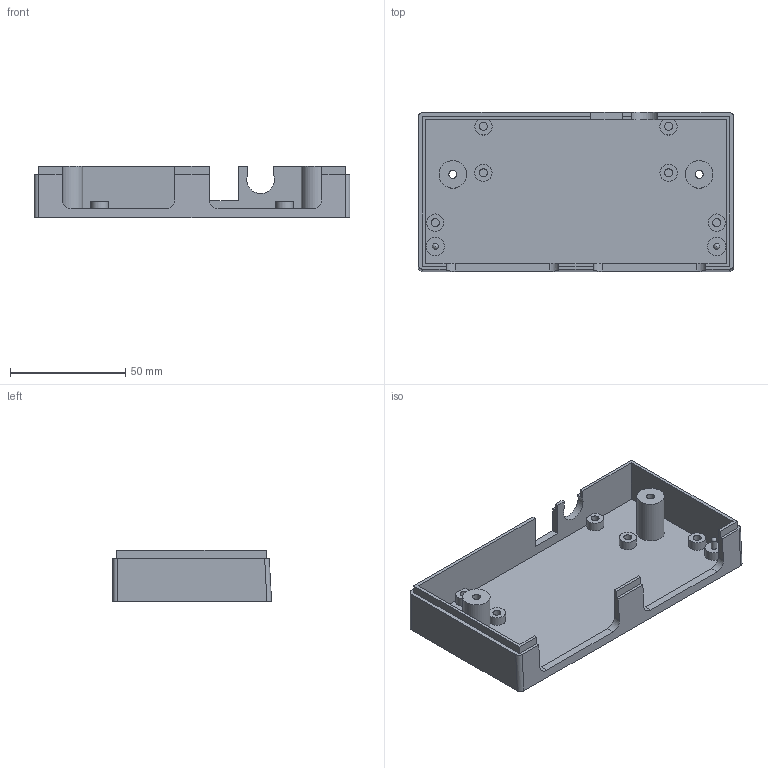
import cadquery as cq

length = 137.19
depth = 69.09
height = 22.42
lip_height = 3.5
front_lean = 1.0
corner_radius = 2.0

ledge_z = height - lip_height
back_y = depth / 2
front_y = -depth / 2

ledge_width = 1.75
front_ledge_width = 1.25
lip_thickness = 1.35
floor_z = 3.0

lip_length = length - 2 * ledge_width
lip_back_y = back_y - ledge_width
lip_front_y = front_y + front_lean + front_ledge_width
cavity_length = lip_length - 2 * lip_thickness
cavity_back_y = lip_back_y - lip_thickness
cavity_front_y = lip_front_y + lip_thickness

window_inner_x = 7.5
window_outer_x = 56.4
window_sill_z = 3.9
window_radius = 4.0

notch_left_x = 6.35
notch_right_x = 20.2
notch_sill_z = 7.4
cable_x = 29.8
cable_z = 16.55
cable_diameter = 12.0
cable_slot_width = 11.2

screw_hole_diameter = 3.5
post_x = 53.5
post_y = 7.65
post_diameter = 12.0
boss_diameter = 7.5
boss_top_z = 7.0
boss_places = [(40.2, 28.5), (40.2, 8.35), (61.1, -13.3)]
pin_x = 61.1
pin_y = -23.65
pin_base_diameter = 8.0
pin_diameter = 2.5
pin_top_z = 12.15


def block(x_min, x_max, y_min, y_max, z_min, z_max):
    """Box given by its limits along each axis."""
    size = (x_max - x_min, y_max - y_min, z_max - z_min)
    return cq.Workplane("XY").box(*size, centered=False).translate((x_min, y_min, z_min))


def cylinder(x, y, z_min, z_max, diameter):
    """Upright cylinder between two heights."""
    return cq.Workplane("XY", origin=(x, y, z_min)).circle(diameter / 2).extrude(z_max - z_min)


def make_shell():
    """Open box with a leaning front face and a stepped lip."""
    body = (
        cq.Workplane("YZ", origin=(-length / 2, 0, 0))
        .moveTo(front_y, 0)
        .lineTo(back_y, 0)
        .lineTo(back_y, ledge_z)
        .lineTo(front_y + front_lean, ledge_z)
        .close()
        .extrude(length)
    )
    body = body.edges("not (|X or |Y)").fillet(corner_radius)
    lip = block(-lip_length / 2, lip_length / 2, lip_front_y, lip_back_y, floor_z, height)
    cavity = block(-cavity_length / 2, cavity_length / 2, cavity_front_y, cavity_back_y, floor_z, height)
    return body.union(lip).cut(cavity)


def front_window(side):
    """Cutter for one open-topped front window with rounded lower corners."""
    x_limits = sorted((side * window_inner_x, side * window_outer_x))
    window = block(*x_limits, front_y, cavity_front_y, window_sill_z, height)
    return window.edges("|Y and <Z").fillet(window_radius)


def back_openings():
    """Cutter for the square notch and the cable entry in the back wall."""
    notch = block(notch_left_x, notch_right_x, cavity_back_y, back_y, notch_sill_z, height)
    cable_hole = (
        cq.Workplane("XZ", origin=(cable_x, back_y, cable_z))
        .circle(cable_diameter / 2)
        .extrude(back_y - cavity_back_y)
    )
    half_slot = cable_slot_width / 2
    cable_slot = block(cable_x - half_slot, cable_x + half_slot, cavity_back_y, back_y, cable_z, height)
    return notch.union(cable_hole).union(cable_slot)


def add_standoffs(part, side):
    """Add the post, the bosses and the locating pin on one side."""
    part = part.union(cylinder(side * post_x, post_y, 0, height, post_diameter))
    part = part.cut(cylinder(side * post_x, post_y, 0, height, screw_hole_diameter))
    for x, y in boss_places:
        part = part.union(cylinder(side * x, y, 0, boss_top_z, boss_diameter))
        part = part.cut(cylinder(side * x, y, floor_z, boss_top_z, screw_hole_diameter))
    part = part.union(cylinder(side * pin_x, pin_y, 0, boss_top_z, pin_base_diameter))
    tip_z = pin_top_z - pin_diameter / 2
    pin = cylinder(side * pin_x, pin_y, floor_z, tip_z, pin_diameter)
    pin_tip = cq.Workplane("XY", origin=(side * pin_x, pin_y, tip_z)).sphere(pin_diameter / 2)
    return part.union(pin).union(pin_tip)


result = make_shell().cut(back_openings())
for side in (-1, 1):
    result = result.cut(front_window(side))
    result = add_standoffs(result, side)